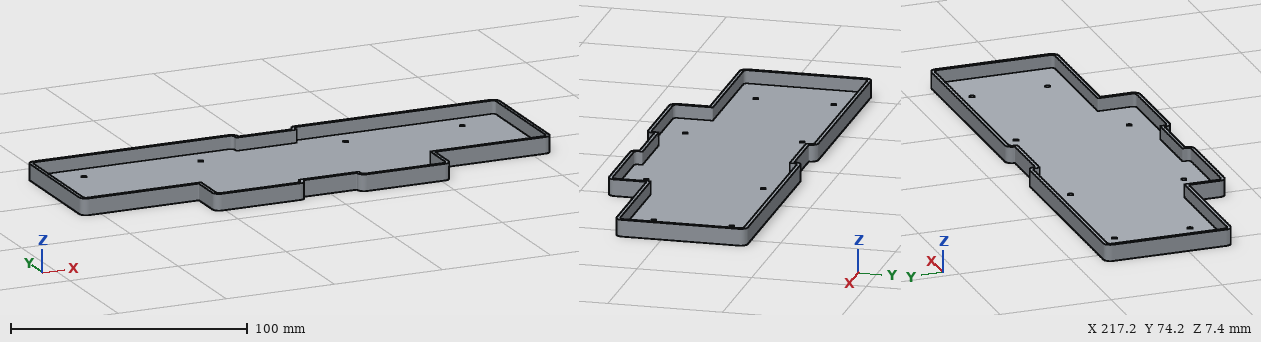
import cadquery as cq

length = 217.2
width = 74.2
height = 7.4
wall = 1.6
floor_thickness = wall
corner_radius = 3.1
inner_corner_radius = 0.3

column_pitch = 18.0
row_pitch = 17.0
wing_columns = 3

wing_length = wing_columns * column_pitch
wing_setback = row_pitch
notch_width = 24.8
notch_depth = 3.41

hole_diameter = 2.2
corner_hole_x_margin = corner_radius + column_pitch
back_hole_margin = corner_radius + row_pitch / 2

corner_reach = 0.05

end_x = length / 2
step_x = end_x - wing_length
notch_x = notch_width / 2
back_y = width / 2
front_y = -width / 2
wing_front_y = front_y + wing_setback
outer_hole_x = end_x - corner_hole_x_margin
inner_hole_x = outer_hole_x - wing_length
back_hole_y = back_y - back_hole_margin


def block(x_min, x_max, y_min, y_max, inset, base_z):
    """Upright block from base_z to the rim, its sides moved inward by inset."""
    x_size = x_max - x_min - 2 * inset
    y_size = y_max - y_min - 2 * inset
    return (
        cq.Workplane("XY", origin=((x_min + x_max) / 2, (y_min + y_max) / 2, base_z))
        .rect(x_size, y_size)
        .extrude(height - base_z)
    )


def inward_corners(inset):
    """Selector for the six upright edges where the inset outline turns inward."""
    corners = []
    for side in (-1, 1):
        corners.append((side * (step_x - inset), wing_front_y + inset))
        for end in (-1, 1):
            corners.append((side * (notch_x + inset), end * (back_y - notch_depth - inset)))
    selector = None
    for x, y in corners:
        near_corner = cq.selectors.BoxSelector(
            (x - corner_reach, y - corner_reach, 0), (x + corner_reach, y + corner_reach, height)
        )
        selector = near_corner if selector is None else selector + near_corner
    return selector


def tray_prism(inset, base_z):
    """Prism of the tray outline: large rounds outward, small rounds inward."""
    radius = corner_radius - inset
    wing = block(-end_x, -notch_x, wing_front_y, back_y, inset, base_z).edges("|Z").fillet(radius)
    stub = block(-step_x, -notch_x, front_y, back_y, inset, base_z).edges("|Z").fillet(radius)
    left_half = wing.union(stub)
    bridge = block(
        -step_x / 2, step_x / 2, front_y + notch_depth, back_y - notch_depth, inset, base_z
    )
    prism = left_half.union(left_half.mirror("YZ")).union(bridge).clean()
    return prism.edges("|Z").edges(inward_corners(inset)).fillet(inner_corner_radius)


def mounting_holes():
    """Drills for four holes on each side of the centre line."""
    outer_front_y = back_hole_y - 2 * row_pitch
    inner_front_y = outer_front_y - row_pitch
    points = []
    for side in (-1, 1):
        points.append((side * outer_hole_x, back_hole_y))
        points.append((side * outer_hole_x, outer_front_y))
        points.append((side * inner_hole_x, back_hole_y))
        points.append((side * inner_hole_x, inner_front_y))
    return cq.Workplane("XY").pushPoints(points).circle(hole_diameter / 2).extrude(height)


tray = tray_prism(inset=0, base_z=0)
cavity = tray_prism(inset=wall, base_z=floor_thickness)
result = tray.cut(cavity).cut(mounting_holes())